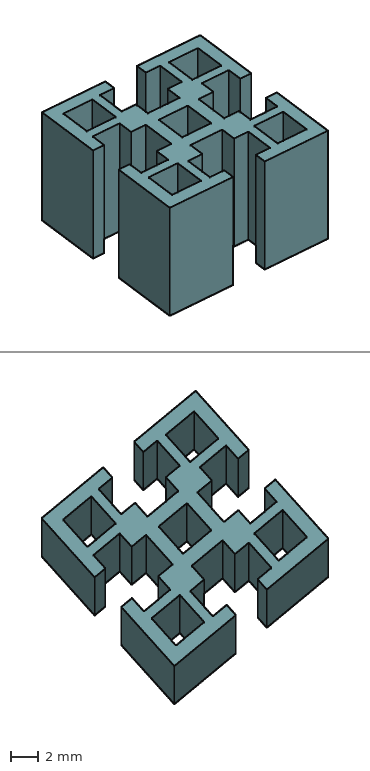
import cadquery as cq

side = 15.0
length = 10.0

mouth_width = 3.0
lip_thickness = 1.05
chamber_width = 5.7
chamber_floor_depth = 3.6
slot_depth = 5.0

bore_width = 2.75
corner_bore_offset = 5.0

half_side = side / 2
slot_count = 4


def make_slot():
    """T-slot cutter opening on the +X face, running the full length."""
    mouth = cq.Workplane("XY").box(slot_depth, mouth_width, length, centered=(False, True, False))
    mouth = mouth.translate((half_side - slot_depth, 0, 0))
    chamber_depth = chamber_floor_depth - lip_thickness
    chamber = cq.Workplane("XY").box(chamber_depth, chamber_width, length, centered=(False, True, False))
    chamber = chamber.translate((half_side - chamber_floor_depth, 0, 0))
    return mouth.union(chamber)


def cut_slots(body):
    """Cut the same T-slot into each of the four sides."""
    slot = make_slot()
    for index in range(slot_count):
        angle = index * 360 / slot_count
        body = body.cut(slot.rotate((0, 0, 0), (0, 0, 1), angle))
    return body


def cut_bores(body):
    """Cut the square through bores in the core and the corners."""
    centers = [(0, 0)]
    for x_sign in (-1, 1):
        for y_sign in (-1, 1):
            centers.append((x_sign * corner_bore_offset, y_sign * corner_bore_offset))
    bores = cq.Workplane("XY").pushPoints(centers).rect(bore_width, bore_width).extrude(length)
    return body.cut(bores)


profile = cq.Workplane("XY").box(side, side, length, centered=(True, True, False))
profile = cut_slots(profile)
result = cut_bores(profile)